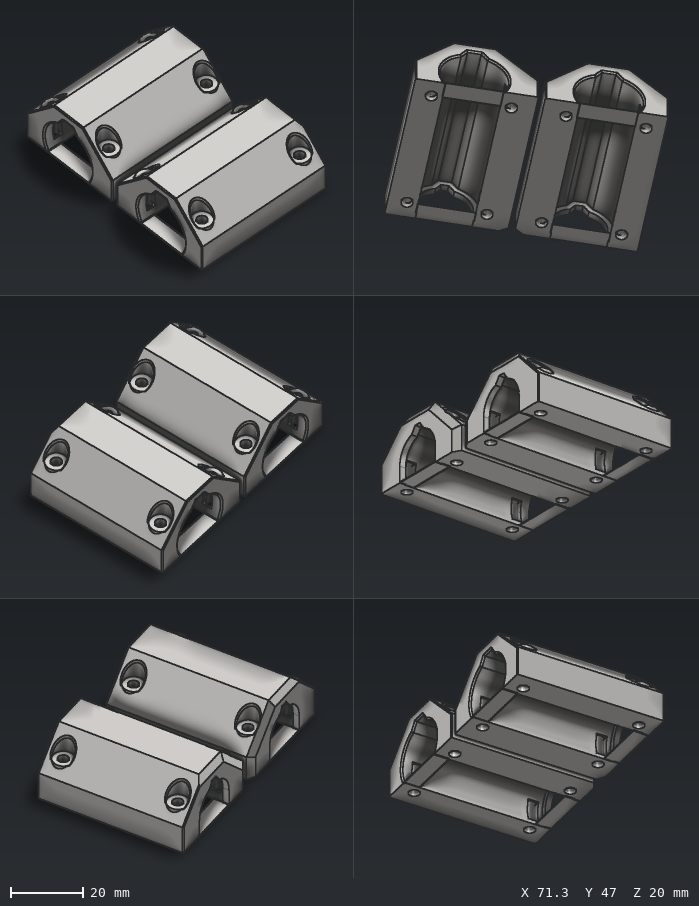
import cadquery as cq
import math

total_width = 71.3
length = 47.0
height = 20.0
gap = 1.85
front = -length / 2
rear = length / 2

cover_width = (total_width - gap) / 2
outer_side = 16.7
inner_side = cover_width - outer_side
roof_outer = 5.8
roof_inner = 6.05
outer_wall_height = height - (outer_side - roof_outer)
inner_wall_height = height - (inner_side - roof_inner)
axis_x = total_width / 2 - outer_side

small_bevel = 0.35
large_bevel_depth = 2.5
large_bevel_run = 1.5

bore_height = 5.3
bore_radius = 9.7
mouth_bevel = 0.5
keyway_top = 16.8
keyway_half_width = 1.9
flank_angle = math.radians(55)
stop_inset = 1.7
stop_thickness = 2.0
stop_start = rear - stop_thickness

screw_x = 11.3
screw_y = 18.5
screw_diameter = 3.3
seat_radius = 3.3
seat_height = 12.5
rim_bevel = 0.4
screw_points = [(side * screw_x, end * screw_y) for side in (-1, 1) for end in (-1, 1)]

relief_bottom = 2.0
relief_height = 2 * (bore_height - relief_bottom)

strip_width = 5.0
strip_thickness = 0.2

cover_outline = [
    (inner_side, 0),
    (inner_side, inner_wall_height),
    (roof_inner, height),
    (-roof_outer, height),
    (-outer_side, outer_wall_height),
    (-outer_side, 0),
]
large_bevel_edges = 3


def bevel_wedge(start, end, end_y, depth, run):
    """Wedge along one outline edge: depth goes into the outline, run along Y with its sign."""
    dx = end[0] - start[0]
    dz = end[1] - start[1]
    plane = cq.Plane(origin=(start[0], 0, start[1]), xDir=(dz, 0, -dx), normal=(dx, 0, dz))
    corners = [(-depth, end_y), (0, end_y), (0, end_y + run)]
    return cq.Workplane(plane).polyline(corners).close().extrude(total_width, both=True)


def bevel_ends(cover):
    """Bevel all outline edges at both ends, the large rear bevel along the first three."""
    for index, (start, end) in enumerate(zip(cover_outline, cover_outline[1:])):
        cover = cover.cut(bevel_wedge(start, end, front, small_bevel, small_bevel))
        if index < large_bevel_edges:
            rear_wedge = bevel_wedge(start, end, rear, large_bevel_depth, -large_bevel_run)
        else:
            rear_wedge = bevel_wedge(start, end, rear, small_bevel, -small_bevel)
        cover = cover.cut(rear_wedge)
    return cover


def passage(inset, start_y, depth, taper=0):
    """Bore and keyway shrunk by inset all round, running from start_y along +Y."""
    section = cq.Workplane("XZ", origin=(0, start_y, bore_height))
    top = keyway_top - bore_height - inset
    top_half = keyway_half_width - inset * math.tan(flank_angle / 2)
    base = top / 2
    base_half = top_half + (top - base) / math.tan(flank_angle)
    keyway_outline = [(-base_half, base), (-top_half, top), (top_half, top), (base_half, base)]
    round_bore = section.circle(bore_radius - inset).extrude(-depth, taper=taper)
    keyway = section.polyline(keyway_outline).close().extrude(-depth, taper=taper)
    return round_bore.union(keyway)


def make_opening():
    """Everything removed along the bore axis: bevelled mouth, bore and straight-legged stop."""
    mouth = passage(-mouth_bevel, front, mouth_bevel, taper=45)
    bore = passage(0, front, stop_start - front)
    stop = passage(stop_inset, stop_start, stop_thickness)
    stop_legs = cq.Workplane("XY").box(
        2 * (bore_radius - stop_inset), stop_thickness, bore_height, centered=(True, False, False)
    ).translate((0, stop_start, 0))
    return bore.union(mouth).union(stop).union(stop_legs)


def add_screw_seats(cover):
    """Raise the seats out of the shoulders, clear the space above them and bevel its rim."""
    seats = cq.Workplane("XY").pushPoints(screw_points).circle(seat_radius).extrude(seat_height)
    counterbores = seats.translate((0, 0, seat_height))
    cover = cover.union(seats).cut(counterbores)
    above_seats = cq.selectors.BoxSelector(
        (-total_width, front, seat_height), (total_width, rear, height)
    )
    return cover.edges("%ELLIPSE").edges(above_seats).chamfer(rim_bevel)


def cut_screw_holes(cover):
    """Drill the screw holes and open each one into the bore with a slot as wide as the hole."""
    holes = cq.Workplane("XY").pushPoints(screw_points).circle(screw_diameter / 2).extrude(height)
    cover = cover.cut(holes)
    for end in (-1, 1):
        slot = cq.Workplane("XY").box(
            2 * screw_x, screw_diameter, relief_height, centered=(True, True, False)
        ).translate((0, end * screw_y, relief_bottom))
        cover = cover.cut(slot)
    return cover


def make_cover(opening):
    cover = cq.Workplane("XZ", origin=(0, front, 0)).polyline(cover_outline).close().extrude(-length)
    cover = add_screw_seats(cover)
    cover = bevel_ends(cover)
    cover = cover.cut(opening)
    return cut_screw_holes(cover)


def make_strip(opening, end):
    """Strip filling the bottom of the opening at the front (-1) or rear (1) end."""
    slab = cq.Workplane("XY").box(
        cover_width, strip_width, strip_thickness, centered=(True, True, False)
    )
    return slab.translate((0, end * (length - strip_width) / 2, 0)).intersect(opening)


opening = make_opening()
cover = make_cover(opening).translate((-axis_x, 0, 0))
strips = [make_strip(opening, end).translate((-axis_x, 0, 0)) for end in (-1, 1)]

left_bodies = [body.solids().val() for body in (cover, *strips)]
right_bodies = [body.mirror("YZ") for body in left_bodies]

result = cq.Compound.makeCompound([*left_bodies, *right_bodies])